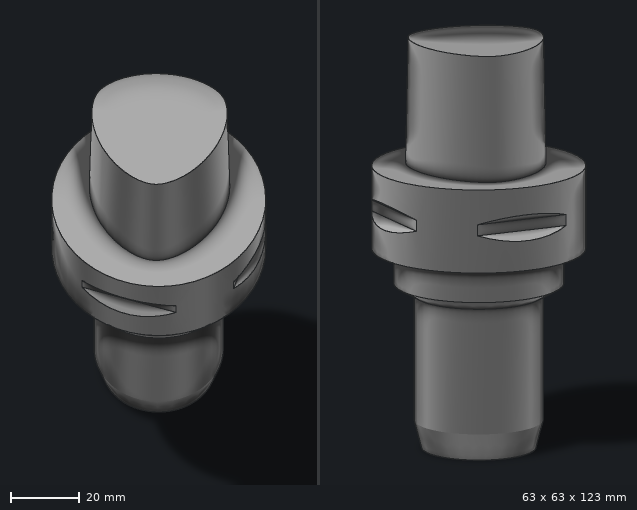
import cadquery as cq
import math

total_height = 123.0
flange_top = 85.1
flange_bottom = 60.0
collar_bottom = 49.6
shank_top = 46.1
nose_height = 8.2

flange_diameter = 63.0
collar_diameter = 50.0
shank_diameter = 38.0
nose_diameter = 33.7

polygon_base_radius = 20.7
polygon_top_radius = 19.9
lobe_height = 1.5

groove_count = 4
groove_first_angle = 45.0
groove_center_height = 73.0
groove_floor_width = 3.3
groove_mouth_width = 7.9
groove_floor_distance = 27.9


def turned_body():
    """Revolve the stepped flange, collar, shank and tapered nose."""
    profile = [
        (0, 0),
        (nose_diameter / 2, 0),
        (shank_diameter / 2, nose_height),
        (shank_diameter / 2, shank_top),
        (collar_diameter / 2, collar_bottom),
        (collar_diameter / 2, flange_bottom),
        (flange_diameter / 2, flange_bottom),
        (flange_diameter / 2, flange_top),
        (0, flange_top),
    ]
    return cq.Workplane("XZ").polyline(profile).close().revolve(360, (0, 0), (0, 1))


def lobed_wire(radius, height):
    """Closed curve of constant width, with one lobe on +Y and its seam on -Y."""

    def point(t):
        angle = 2 * math.pi * t - math.pi / 2
        reach = radius - lobe_height * math.sin(3 * angle)
        slope = -3 * lobe_height * math.cos(3 * angle)
        x = reach * math.cos(angle) - slope * math.sin(angle)
        y = reach * math.sin(angle) + slope * math.cos(angle)
        return (x, y, height)

    segment_count = 48
    points = [cq.Vector(*point(i / segment_count)) for i in range(segment_count)]
    return cq.Wire.assembleEdges([cq.Edge.makeSpline(points, periodic=True)])


def polygon_shank():
    """Loft the lobed curve with a slight taper up to the top face."""
    base = lobed_wire(polygon_base_radius, flange_top)
    top = lobed_wire(polygon_top_radius, total_height)
    return cq.Workplane(cq.Solid.makeLoft([base, top], True))


def groove_cutter(angle):
    """Straight trapezoidal groove facing outward at the given angle about Z."""
    rim = flange_diameter / 2
    flare = (groove_mouth_width - groove_floor_width) / 2 / (rim - groove_floor_distance)
    outer = rim + 1.2
    outer_half = groove_floor_width / 2 + flare * (outer - groove_floor_distance)
    profile = [
        (groove_floor_distance, groove_center_height - groove_floor_width / 2),
        (outer, groove_center_height - outer_half),
        (outer, groove_center_height + outer_half),
        (groove_floor_distance, groove_center_height + groove_floor_width / 2),
    ]
    cutter = cq.Workplane("XZ").polyline(profile).close().extrude(rim, both=True)
    return cutter.rotate((0, 0, 0), (0, 0, 1), angle)


result = turned_body().union(polygon_shank())
for index in range(groove_count):
    result = result.cut(groove_cutter(groove_first_angle + index * 360 / groove_count))